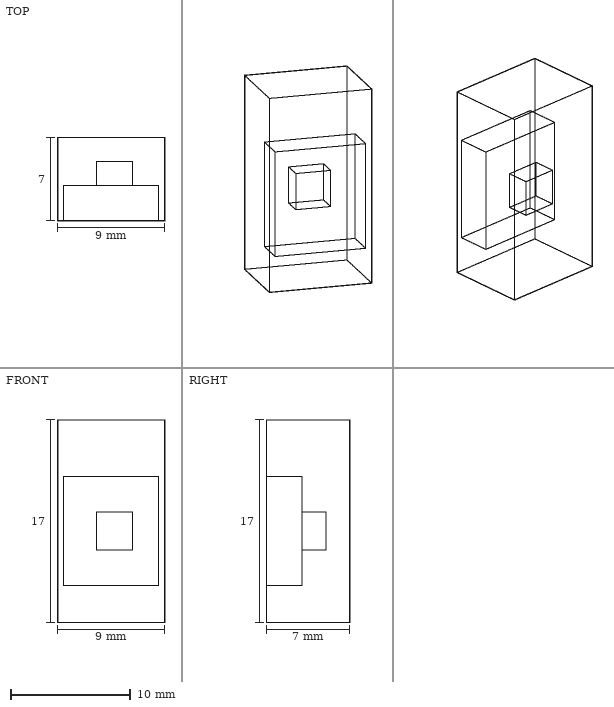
import cadquery as cq

width = 9.0
depth = 7.0
height = 17.02

pocket_width = 7.96
pocket_height = 9.17
pocket_depth = 2.98
pocket_left = 0.5
pocket_bottom = 3.11

recess_width = 3.06
recess_height = 3.17
recess_depth = 2.0
recess_left = 3.25
recess_bottom = 6.1


def box_from_corner(size_x, size_y, size_z, corner):
    """Box whose lowest X, Y and Z corner sits at the given point."""
    return cq.Workplane("XY").box(size_x, size_y, size_z, centered=False).translate(corner)


block = box_from_corner(width, depth, height, (0, 0, 0))
pocket = box_from_corner(pocket_width, pocket_depth, pocket_height, (pocket_left, 0, pocket_bottom))
recess = box_from_corner(
    recess_width, recess_depth, recess_height, (recess_left, pocket_depth, recess_bottom)
)

result = block.cut(pocket).cut(recess)